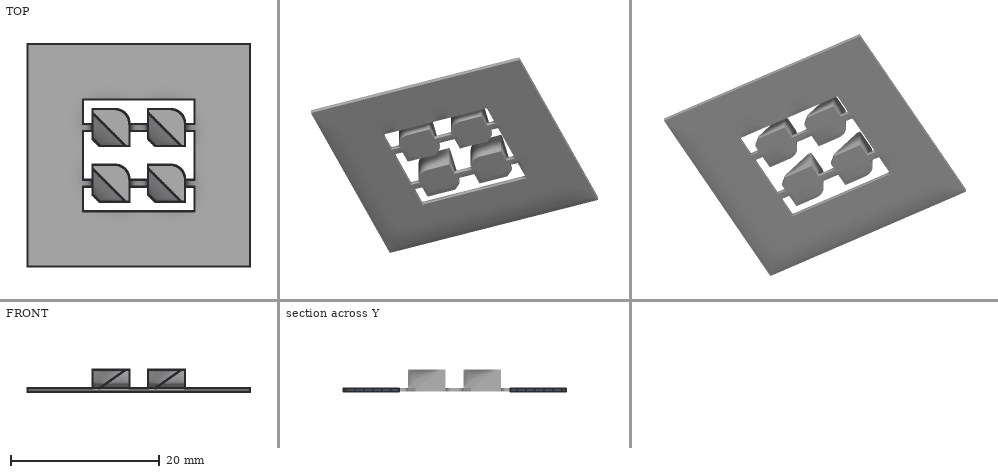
import cadquery as cq

frame_side = 30.0
window_side = frame_side / 2
plate_thickness = 0.5
total_height = 3.0

block_pitch = 7.5
block_side = 5.0
bar_width = 1.0
corner_radius = 2.0

lower_cut_leg = 1.0
upper_cut_leg = 4.5

block_offsets = (-block_pitch / 2, block_pitch / 2)


def make_frame():
    """Flat square plate with a centred square window."""
    return (
        cq.Workplane("XY")
        .rect(frame_side, frame_side)
        .rect(window_side, window_side)
        .extrude(plate_thickness)
    )


def make_bar(y):
    """Bar across the window along X, level with the plate."""
    return (
        cq.Workplane("XY")
        .center(0, y)
        .rect(window_side, bar_width)
        .extrude(plate_thickness)
    )


def corner_triangle(leg):
    """Points of a right triangle at the -X, -Y corner of a block."""
    corner = -block_side / 2
    return [(corner, corner), (corner + leg, corner), (corner, corner + leg)]


def make_block():
    """Block with a rounded +X, +Y edge and a sloped face on the opposite corner."""
    block = (
        cq.Workplane("XY")
        .rect(block_side, block_side)
        .extrude(total_height)
        .edges("|Z and >X and >Y")
        .fillet(corner_radius)
    )
    foot_cut = (
        cq.Workplane("XY")
        .polyline(corner_triangle(lower_cut_leg))
        .close()
        .extrude(plate_thickness)
    )
    slope_cut = (
        cq.Workplane("XY", origin=(0, 0, plate_thickness))
        .polyline(corner_triangle(lower_cut_leg))
        .close()
        .workplane(offset=total_height - plate_thickness)
        .polyline(corner_triangle(upper_cut_leg))
        .close()
        .loft(ruled=True)
    )
    return block.cut(foot_cut).cut(slope_cut)


result = make_frame()
block = make_block()
for y in block_offsets:
    result = result.union(make_bar(y))
    for x in block_offsets:
        result = result.union(block.translate((x, y, 0)))